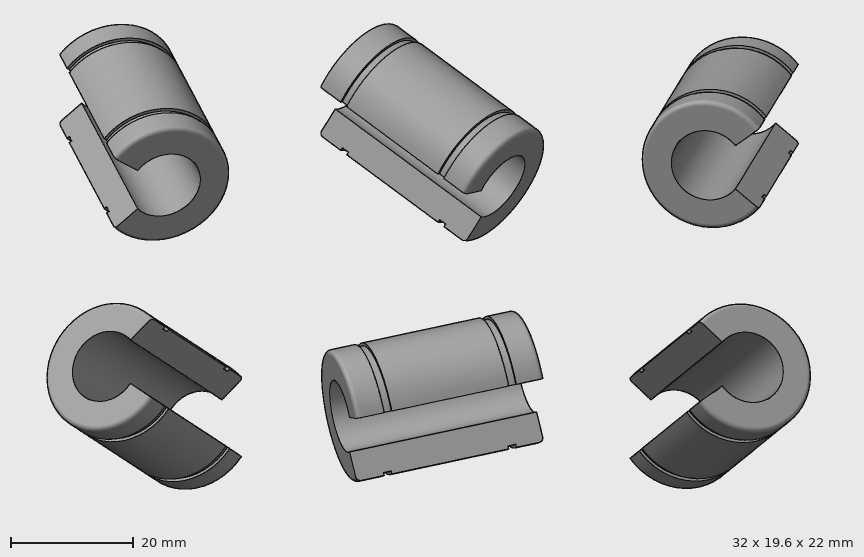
import cadquery as cq
import math

length = 32.0
outer_radius = 11.0
bore_radius = 6.0
end_fillet = 0.75

groove_width = 1.3
groove_radius = 10.5
groove_outer_span = 22.6

lip_distance = 8.57
opening_half_angle = math.acos(lip_distance / outer_radius)


def cylinder(radius, start_x, cylinder_length):
    """Cylinder along X beginning at start_x."""
    return cq.Workplane("YZ", origin=(start_x, 0, 0)).circle(radius).extrude(cylinder_length)


def sleeve():
    """Outer body with rounded ends and a through bore."""
    body = cylinder(outer_radius, -length / 2, length).edges().fillet(end_fillet)
    return body.cut(cylinder(bore_radius, -length / 2, length))


def groove(start_x):
    """Ring of material removed for one retaining ring."""
    return cylinder(outer_radius, start_x, groove_width).cut(
        cylinder(groove_radius, start_x, groove_width)
    )


def opening_wedge():
    """Wedge with its apex on the axis, wider than the wall, along the full length."""
    reach = 2 * outer_radius
    half_height = reach * math.tan(opening_half_angle)
    return (
        cq.Workplane("YZ", origin=(-length / 2, 0, 0))
        .polyline([(0, 0), (-reach, half_height), (-reach, -half_height)])
        .close()
        .extrude(length)
    )


groove_starts = (-groove_outer_span / 2, groove_outer_span / 2 - groove_width)

result = sleeve()
for groove_start in groove_starts:
    result = result.cut(groove(groove_start))
result = result.cut(opening_wedge())